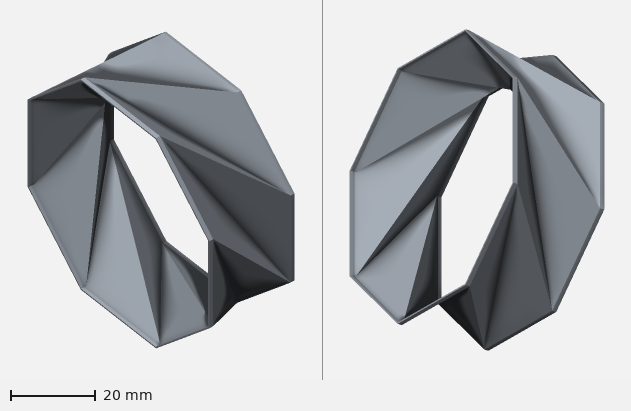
import cadquery as cq
import math

SIDES = 8
OUTER_WIDTH = 66.4
LENGTH = 26.4
RIM_LENGTH = 1.2
WALL = 0.4

APOTHEM = OUTER_WIDTH / 2
CORNER_RADIUS = APOTHEM / math.cos(math.pi / SIDES)
FOLD_Y = LENGTH / 2 - RIM_LENGTH


def corner(index, y):
    """Octagon corner at the given Y, counted clockwise when looking toward +Y."""
    angle = -(index + 0.5) * 2 * math.pi / SIDES
    return cq.Vector(CORNER_RADIUS * math.cos(angle), y, CORNER_RADIUS * math.sin(angle))


def octagon_bar(apothem):
    """Solid octagonal bar along Y with flats facing X and Z."""
    circumscribed_diameter = 2 * apothem / math.cos(math.pi / SIDES)
    return (
        cq.Workplane("XZ")
        .transformed(rotate=(0, 0, 180 / SIDES))
        .polygon(SIDES, circumscribed_diameter)
        .extrude(LENGTH / 2, both=True)
    )


def offset_tetrahedron(corners, distance):
    """Tetrahedron with all four faces moved outward by the given distance."""
    triangles = [[c for c in corners if c is not opposite] for opposite in corners]
    areas = [(b - a).cross(c - a).Length / 2 for a, b, c in triangles]
    total_area = sum(areas)

    centre = cq.Vector(0, 0, 0)
    for area, opposite in zip(areas, corners):
        centre = centre + opposite * (area / total_area)
    origin, *others = corners
    edge_a, edge_b, edge_c = [c - origin for c in others]
    inscribed_radius = abs(edge_a.cross(edge_b).dot(edge_c)) / 2 / total_area
    scale = 1 + distance / inscribed_radius

    faces = []
    for triangle in triangles:
        moved = [centre + (c - centre) * scale for c in triangle]
        faces.append(cq.Face.makeFromWires(cq.Wire.makePolygon(moved, close=True)))
    return cq.Solid.makeSolid(cq.Shell.makeShell(faces)).fix()


def folded_body(inset):
    """Octagonal bar with a twisted ring of V-shaped folds, every face moved inward by inset."""
    body = octagon_bar(APOTHEM - inset)
    for i in range(SIDES):
        fold_corners = [
            corner(i, -FOLD_Y),
            corner(i + 1, -FOLD_Y),
            corner(i + 1, FOLD_Y),
            corner(i + 2, FOLD_Y),
        ]
        body = body.cut(cq.Workplane(obj=offset_tetrahedron(fold_corners, inset)))
    return body


outer_body = folded_body(0)
opening = folded_body(WALL)
result = outer_body.cut(opening)